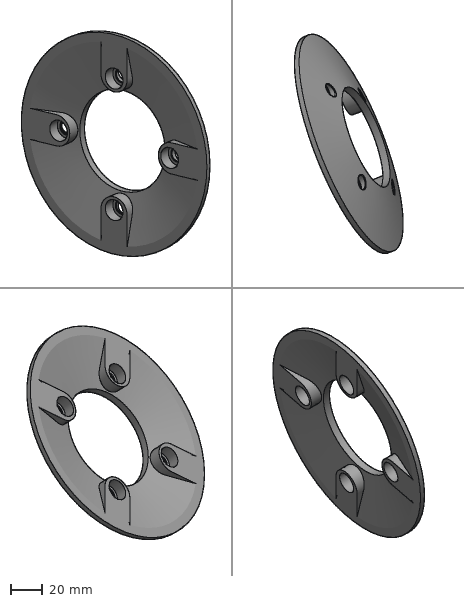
import cadquery as cq
import math

outer_diameter = 148.0
height = 14.0
rim_thickness = 3.4
bore_diameter = 68.0

hollow_diameter = 135.0
cone_slope = (height - rim_thickness) / (outer_diameter / 2 - bore_diameter / 2)
hollow_depth = cone_slope * (hollow_diameter - bore_diameter) / 2

pad_count = 4
pad_width = 21.0
pad_tip_distance = 35.3
hole_distance = 44.25
hole_diameter = 9.0
counterbore_diameter = 14.0
counterbore_depth = 8.0
hole_chamfer = 0.5


def ring_of_revolution(points):
    """Revolve a (radius, Y) outline about the Y axis."""
    return cq.Workplane("XY").polyline(points).close().revolve(360, (0, 0, 0), (0, 1, 0))


def make_envelope():
    """Solid cone on a cylindrical rim, without any opening."""
    return ring_of_revolution([
        (0, 0),
        (outer_diameter / 2, 0),
        (outer_diameter / 2, rim_thickness),
        (bore_diameter / 2, height),
        (0, height),
    ])


def make_opening():
    """Central bore together with the conical hollow."""
    return ring_of_revolution([
        (0, 0),
        (hollow_diameter / 2, 0),
        (bore_diameter / 2, hollow_depth),
        (bore_diameter / 2, height),
        (0, height),
    ])


def cylinder_along_y(diameter, length, distance):
    """Cylinder from Y = 0 towards +Y, at a given distance along X."""
    return cq.Workplane("XZ").center(distance, 0).circle(diameter / 2).extrude(-length)


def make_pad():
    """Round-ended block along +X, reaching from its rounded tip out to the rim."""
    end_center = pad_tip_distance + pad_width / 2
    length = outer_diameter / 2 - end_center
    bar = (
        cq.Workplane("XZ")
        .center(end_center + length / 2, 0)
        .rect(length, pad_width)
        .extrude(-height)
    )
    return bar.union(cylinder_along_y(pad_width, height, end_center))


def make_hole():
    """Through hole with a counterbore open at the rim face."""
    through = cylinder_along_y(hole_diameter, height, hole_distance)
    return through.union(cylinder_along_y(counterbore_diameter, counterbore_depth, hole_distance))


def around_axis(shape):
    """Copies of a shape spaced evenly about the Y axis."""
    step = 360 / pad_count
    return [shape.rotate((0, 0, 0), (0, 1, 0), i * step) for i in range(pad_count)]


def chamfer_holes(body):
    """Chamfer both mouths of every through hole: at the counterbore floor and on the outer cone."""
    mean_diameter = (hole_diameter + counterbore_diameter) / 2
    reach = mean_diameter / 2
    for i in range(pad_count):
        angle = 2 * math.pi * i / pad_count
        x = hole_distance * math.cos(angle)
        z = hole_distance * math.sin(angle)
        low_corner = (x - reach, 0, z - reach)
        high_corner = (x + reach, height, z + reach)
        hole_edges = cq.selectors.BoxSelector(low_corner, high_corner, boundingbox=True)
        body = body.edges(hole_edges).edges("not(%LINE)").chamfer(hole_chamfer)
    return body


envelope = make_envelope()
result = envelope.cut(make_opening())
for pad in around_axis(make_pad()):
    result = result.union(pad.intersect(envelope))
for hole in around_axis(make_hole()):
    result = result.cut(hole)
result = chamfer_holes(result)